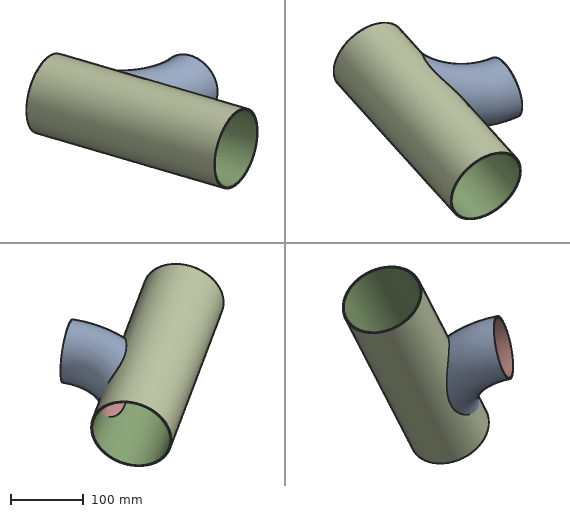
import cadquery as cq

run_length = 304.0
run_diameter = 114.3
run_bore = 110.5
wall = (run_diameter - run_bore) / 2

branch_diameter = 88.8
branch_bore = branch_diameter - 2 * wall
bend_radius = run_diameter
bend_angle = 90.0
overall_depth = 184.0
mouth_y = overall_depth - run_diameter / 2


def run_cylinder(diameter):
    """Solid cylinder over the full length of the main pipe."""
    return (
        cq.Workplane("YZ", origin=(-run_length / 2, 0, 0))
        .circle(diameter / 2)
        .extrude(run_length)
    )


def branch_bend(diameter):
    """Solid quarter bend from the mouth down into the main pipe, turning toward -X."""
    return (
        cq.Workplane("XZ", origin=(0, mouth_y, 0))
        .circle(diameter / 2)
        .revolve(bend_angle, (-bend_radius, 0, 0), (-bend_radius, -1, 0))
    )


run = run_cylinder(run_diameter).cut(run_cylinder(run_bore))
branch = branch_bend(branch_diameter).cut(run_cylinder(run_diameter))

result = run.union(branch).cut(branch_bend(branch_bore))